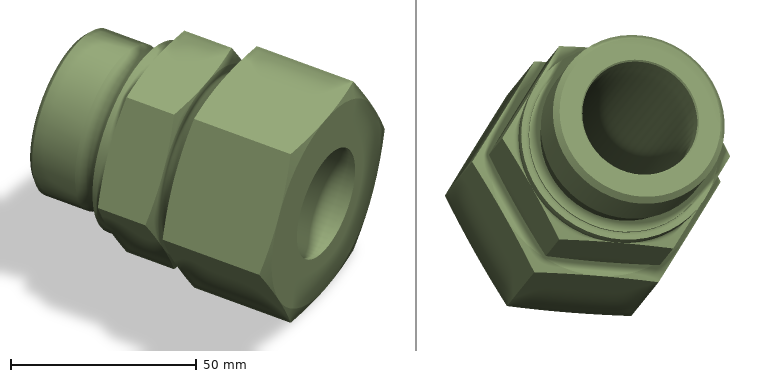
import cadquery as cq
import math


seal_front = 21.65
collar_start = 22.1
hex_start = 25.05
hex_end = 42.0
union_start = 45.5
nut_start = 46.6
total_length = 79.0

bore_radius = 16.0
stud_radius = 23.9
relief_radius = 22.3
seal_radius = 25.4
neck_radius = 24.6
union_radius = 26.0

hex_sides = 6
body_hex_flats = 55.0
nut_hex_flats = 60.0
collar_radius = body_hex_flats / 2
hex_chamfer_angle = math.radians(15)

stud_chamfer = 1.5
bore_chamfer = 0.4
neck_fillet = 0.8
relief_fillet = 1.0
relief_fillet_start = 17.4
relief_angle = math.radians(30)


def cylinder(radius, start, end):
    """Cylinder on the X axis between two stations."""
    return cq.Workplane("YZ").workplane(offset=start).circle(radius).extrude(end - start)


def revolve_about_x(profile):
    """Full turn of a closed X-Y profile about the X axis."""
    return profile.revolve(360, (0, 0, 0), (1, 0, 0))


def chamfered_hexagon(across_flats, start, end):
    """Hexagonal prism whose corners are cut by a shallow cone at both ends."""
    flat_radius = across_flats / 2
    corner_radius = flat_radius / math.cos(math.pi / hex_sides)
    chamfer_length = (corner_radius - flat_radius) * math.tan(hex_chamfer_angle)
    prism = (
        cq.Workplane("YZ")
        .workplane(offset=start)
        .polygon(hex_sides, 2 * corner_radius)
        .extrude(end - start)
    )
    envelope = revolve_about_x(
        cq.Workplane("XY")
        .moveTo(start, 0)
        .lineTo(start, flat_radius)
        .lineTo(start + chamfer_length, corner_radius)
        .lineTo(end - chamfer_length, corner_radius)
        .lineTo(end, flat_radius)
        .lineTo(end, 0)
        .close()
    )
    return prism.intersect(envelope)


def threaded_stud():
    """Stud with a chamfered end and a relief groove that runs up to the collar."""
    cone_end_radius = relief_radius + relief_fillet * (1 - math.cos(relief_angle))
    cone_length = (stud_radius - cone_end_radius) / math.tan(relief_angle)
    fillet_end = relief_fillet_start + relief_fillet * math.sin(relief_angle)
    half_angle = relief_angle / 2
    fillet_middle = (
        fillet_end - relief_fillet * math.sin(half_angle),
        relief_radius + relief_fillet * (1 - math.cos(half_angle)),
    )
    return revolve_about_x(
        cq.Workplane("XY")
        .lineTo(0, stud_radius - stud_chamfer)
        .lineTo(stud_chamfer, stud_radius)
        .lineTo(relief_fillet_start - cone_length, stud_radius)
        .lineTo(relief_fillet_start, cone_end_radius)
        .threePointArc(fillet_middle, (fillet_end, relief_radius))
        .lineTo(collar_start, relief_radius)
        .lineTo(collar_start, 0)
        .close()
    )


def union_profile():
    """Profile of the neck and union thread; it also shapes the hole in the nut."""
    arc_offset = neck_fillet * (1 - math.sqrt(0.5))
    return (
        cq.Workplane("XY")
        .moveTo(hex_end, 0)
        .lineTo(hex_end, neck_radius + neck_fillet)
        .threePointArc(
            (hex_end + arc_offset, neck_radius + arc_offset),
            (hex_end + neck_fillet, neck_radius),
        )
        .lineTo(union_start, neck_radius)
        .lineTo(union_start + union_radius - neck_radius, union_radius)
        .lineTo(total_length, union_radius)
        .lineTo(total_length, 0)
        .close()
    )


def chamfered_bore():
    """Through bore with a small chamfer at the stud end."""
    return revolve_about_x(
        cq.Workplane("XY")
        .lineTo(0, bore_radius + bore_chamfer)
        .lineTo(bore_chamfer, bore_radius)
        .lineTo(total_length, bore_radius)
        .lineTo(total_length, 0)
        .close()
    )


def make_body():
    """Stud, collar, hexagon and union thread in one piece, bored through."""
    return (
        threaded_stud()
        .union(cylinder(collar_radius, collar_start, hex_start))
        .union(chamfered_hexagon(body_hex_flats, hex_start, hex_end))
        .union(revolve_about_x(union_profile()))
        .cut(chamfered_bore())
    )


def make_seal_ring():
    """Flat ring on the sealing face of the collar, around the relief groove."""
    ring = cylinder(seal_radius, seal_front, collar_start)
    return ring.cut(cylinder(relief_radius, seal_front, collar_start))


def make_nut():
    """Hexagonal union nut with a hole that matches the union thread."""
    hexagon = chamfered_hexagon(nut_hex_flats, nut_start, total_length)
    return hexagon.cut(revolve_about_x(union_profile()))


body = make_body()
seal_ring = make_seal_ring()
nut = make_nut()

result = cq.Compound.makeCompound([body.val(), seal_ring.val(), nut.val()])